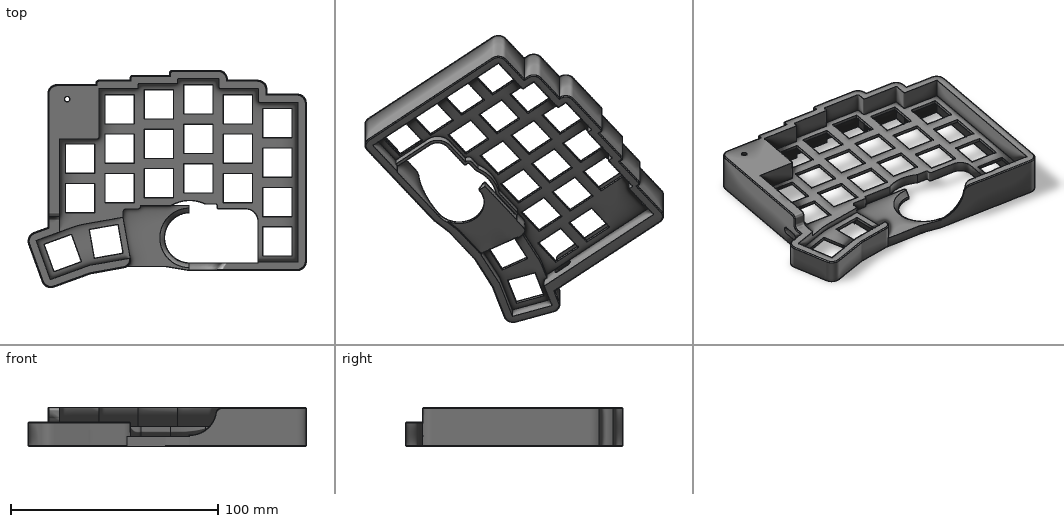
import cadquery as cq
import math


CASE_H = 19.0
THUMB_WALL_H = 12.0
PLATE_TOP = 9.8
THUMB_PLATE_TOP = 7.1
FLOOR_TOP = 4.9
FLOOR_BOTTOM = 1.0
PLATE_T = 1.5
PLATE_BOTTOM = PLATE_TOP - PLATE_T
THUMB_PLATE_BOTTOM = THUMB_PLATE_TOP - PLATE_T
RIM_CHAMFER = 0.5
BELOW = -1.0
ABOVE = CASE_H + 1
FAR = 300.0
TOL = 0.01

PITCH = 19.05
KEY_HOLE = 14.0
KEY_GAP = 0.5
HALF_CELL = PITCH / 2 + KEY_GAP
QUARTER = PITCH / 4
LAST_COLUMN_DROP = 6.7
COLUMNS = [
    (-QUARTER, 2),
    (0.0, 3),
    (PITCH / 8, 3),
    (QUARTER, 3),
    (0.0, 3),
    (-LAST_COLUMN_DROP - PITCH, 4),
]

WALL = 4.0
CORNER_R = 4.5
STEP_CORNER_R = 1.5
INNER_STEP_R = 0.5
LEFT_OUTER_X = -15.6
LEFT_STEP_Y = -13.8
LEFT_STEP_R = 2.0

BLOCK_REAR_Y = 50.0
BLOCK_STEP_X = 7.6
BLOCK_FRONT_Y = COLUMNS[0][0] + 1.5 * PITCH
PIN_HOLE_D = 2.5
PIN_HOLE_XY = (-6.25, 43.0)

SLOT_L = 9.35
SLOT_H = 3.4
SLOT_Y = -10.0
SLOT_Z = 6.55

THUMB_XY = (-8.385, -31.3)
THUMB_ANGLES = (20.0, 10.0)
THUMB_BEND_SHIFT = -1.0
THUMB_END_R = 3.7
THUMB_SKIRT_T = 1.0

BALL_X = 52.9
BALL_Y = -24.0
BALL_Z = 15.7
BALL_R = 18.0
BALL_HOLE_R = 12.1
BAY_FRONT_Y = BALL_Y - BALL_HOLE_R
BAY_LEFT_X = 20.85
BAY_RIGHT_X = 85.9
BAY_REAR_Y = -HALF_CELL
BAY_NOTCH_LEFT_X = 29.3
BAY_NOTCH_LEFT_Y = -8.55
BAY_NOTCH_RIGHT_X = 66.15
BAY_NOTCH_RIGHT_Y = -7.7
BAY_LEFT_R = 1.5
BAY_RIGHT_R = 6.0
NOTCH_LEFT_R = 1.4
NOTCH_RIGHT_R = 0.7

FLOOR_REAR_Y = -8.3
FLOOR_START_INSET = 0.9
FLOOR_BEND_X = 41.3
FRONT_WALL_X = 52.6
SCOOP_R = 20.2
SCOOP_Z = 18.5
SCOOP_BLEND_R = 2.5


def column_left(index):
    return index * PITCH - HALF_CELL


def column_right(index):
    return index * PITCH + HALF_CELL


def column_rear(index):
    lowest, count = COLUMNS[index]
    return lowest + (count - 1) * PITCH + HALF_CELL


def turned_point(center, angle, along, across):
    """Point at (along, across) in a frame turned by `angle` degrees about `center`."""
    a = math.radians(angle)
    x = center[0] + along * math.cos(a) - across * math.sin(a)
    y = center[1] + along * math.sin(a) + across * math.cos(a)
    return (x, y)


SHARED_CORNER = turned_point(THUMB_XY, THUMB_ANGLES[0], HALF_CELL, -HALF_CELL)
THUMB_CENTERS = (THUMB_XY, turned_point(SHARED_CORNER, THUMB_ANGLES[1], HALF_CELL, HALF_CELL))


def thumb_point(key, along, across):
    return turned_point(THUMB_CENTERS[key], THUMB_ANGLES[key], along, across)


INNER_LEFT_X = column_left(0)
INNER_FRONT_Y = COLUMNS[5][0] - HALF_CELL
OUTER_FRONT_Y = INNER_FRONT_Y - WALL
FLOOR_FRONT_Y = thumb_point(1, HALF_CELL - FLOOR_START_INSET, -HALF_CELL - WALL)[1]


def thumb_outline(grow=0.0, end=0.0, bend=0.0):
    """Outline of the thumb pair grown by `grow`; `end` and `bend` shift its right end and front bend."""
    reach = HALF_CELL + grow
    return [
        thumb_point(0, -reach, reach),
        thumb_point(0, -reach, -reach),
        thumb_point(0, HALF_CELL + bend, -reach),
        thumb_point(1, HALF_CELL + end, -reach),
        thumb_point(1, HALF_CELL + end, reach),
        thumb_point(1, -HALF_CELL, reach),
        thumb_point(0, HALF_CELL, reach),
    ]


def rear_steps(grow=0.0):
    """Corners of the stepped rear line from column 1 to the rear right corner, grown outward."""
    points = []
    for i in (1, 2):
        x = column_left(i + 1) - grow
        points += [(x, column_rear(i) + grow), (x, column_rear(i + 1) + grow)]
    for i in (3, 4):
        x = column_right(i) + grow
        points += [(x, column_rear(i) + grow), (x, column_rear(i + 1) + grow)]
    points.append((column_right(5) + grow, column_rear(5) + grow))
    return points


def inner_front_outline():
    """Front part of the inner outline, from the front right corner to the left wall."""
    return [
        (column_right(5), INNER_FRONT_Y),
        (BALL_X, INNER_FRONT_Y),
        (FLOOR_BEND_X, FLOOR_FRONT_Y + WALL),
        thumb_point(1, HALF_CELL, -HALF_CELL),
        (INNER_LEFT_X, THUMB_CENTERS[1][1]),
    ]


def prism(points, bottom, top):
    return cq.Workplane("XY").workplane(offset=bottom).polyline(points).close().extrude(top - bottom)


def cylinder(center, radius, bottom, top):
    return cq.Workplane("XY", origin=(*center, bottom)).circle(radius).extrude(top - bottom)


def ball_at(height, radius):
    return cq.Workplane("XY", origin=(BALL_X, BALL_Y, height)).sphere(radius)


def box(x_range, y_range, z_range):
    ranges = (x_range, y_range, z_range)
    sizes = [high - low for low, high in ranges]
    corner = tuple(low for low, high in ranges)
    return cq.Workplane("XY", origin=corner).box(*sizes, centered=False)


def round_vertical(body, radius, points, bottom=BELOW):
    """Fillet the vertical edges at the given XY points whose middle is above `bottom`."""
    reach = 10 * TOL
    for x, y in points:
        near = cq.selectors.BoxSelector((x - reach, y - reach, bottom), (x + reach, y + reach, ABOVE))
        body = body.edges("|Z").edges(near).fillet(radius)
    return body


def outer_body():
    steps = rear_steps(WALL)
    rear_left = (LEFT_OUTER_X, BLOCK_REAR_Y)
    block_step = (BLOCK_STEP_X, column_rear(1) + WALL)
    front_right = (column_right(5) + WALL, OUTER_FRONT_Y)
    middle_y = THUMB_CENTERS[1][1]
    main_outline = [
        rear_left,
        (BLOCK_STEP_X, BLOCK_REAR_Y),
        block_step,
        *steps,
        front_right,
        (FRONT_WALL_X, OUTER_FRONT_Y),
        (FRONT_WALL_X, middle_y),
        (LEFT_OUTER_X, middle_y),
    ]
    main = prism(main_outline, 0, CASE_H)
    main = round_vertical(main, CORNER_R, [rear_left, steps[4], steps[6], steps[8], front_right])
    main = round_vertical(main, STEP_CORNER_R, [block_step, steps[1], steps[3]])

    thumb_wall = thumb_outline(WALL, bend=THUMB_BEND_SHIFT)
    thumb = round_vertical(prism(thumb_wall, 0, CASE_H), CORNER_R, thumb_wall[:2])

    floor_outline = [
        (FRONT_WALL_X, OUTER_FRONT_Y),
        (FLOOR_BEND_X, FLOOR_FRONT_Y),
        (THUMB_CENTERS[1][0], FLOOR_FRONT_Y),
        THUMB_CENTERS[1],
        (FRONT_WALL_X, middle_y),
    ]
    return main.union(thumb).union(prism(floor_outline, 0, FLOOR_TOP))


def left_step_cutter():
    """Everything above the thumb wall, in front of the rounded step of the left wall."""
    r = LEFT_STEP_R
    start_x = -FAR / 2
    end_x = BAY_LEFT_X + 2 * WALL
    return (
        cq.Workplane("YZ", origin=(start_x, 0, 0))
        .moveTo(-FAR, THUMB_WALL_H)
        .lineTo(LEFT_STEP_Y - r, THUMB_WALL_H)
        .radiusArc((LEFT_STEP_Y, THUMB_WALL_H + r), -r)
        .lineTo(LEFT_STEP_Y, CASE_H - r)
        .radiusArc((LEFT_STEP_Y + r, CASE_H), r)
        .lineTo(-FAR, CASE_H)
        .close()
        .extrude(end_x - start_x)
    )


def add_front_scoop(body):
    """Dip the left end of the front wall along a ball, blended into the wall top."""
    rear_y = BAY_FRONT_Y + 1
    scoop = ball_at(SCOOP_Z, SCOOP_R).union(cylinder((BALL_X, BALL_Y), SCOOP_R, SCOOP_Z, ABOVE))
    body = body.cut(scoop.intersect(box((FRONT_WALL_X, FAR), (-FAR, rear_y), (0, ABOVE))))
    wall_top = cq.selectors.BoxSelector(
        (BALL_X, OUTER_FRONT_Y, CASE_H - TOL), (BALL_X + SCOOP_R, rear_y, CASE_H + TOL)
    )
    return body.edges(wall_top).edges("%CIRCLE").fillet(SCOOP_BLEND_R)


def chamfer_rims(body, outline):
    """Chamfer the top and bottom edges that lie on the outer outline, except along the low floor."""

    def is_rim(edge):
        start, middle, end = (edge.positionAt(t) for t in (0.0, 0.5, 1.0))
        if math.hypot(end.x - start.x, end.y - start.y) < TOL:
            return False
        if TOL < middle.z < FLOOR_TOP + TOL:
            return False
        feet = [cq.Vertex.makeVertex(p.x, p.y, 0) for p in (start, middle, end)]
        return all(outline.distance(foot) < TOL for foot in feet)

    rims = [edge for edge in body.edges().vals() if is_rim(edge)]
    return body.newObject(rims).chamfer(RIM_CHAMFER)


def bay_prism(grow, bottom, top):
    """Trackball bay, open to the front beside the thumb keys, grown outward by `grow`."""
    rear_left = (BAY_LEFT_X, BAY_REAR_Y)
    left_notch = (BAY_NOTCH_LEFT_X, BAY_REAR_Y)
    right_notch = (BAY_NOTCH_RIGHT_X, BAY_NOTCH_RIGHT_Y)
    right_notch_foot = (BAY_NOTCH_RIGHT_X, BAY_REAR_Y)
    rear_right = (BAY_RIGHT_X, BAY_REAR_Y)
    outline = [
        thumb_point(1, HALF_CELL, -FAR / 4),
        thumb_point(1, HALF_CELL, HALF_CELL),
        rear_left,
        left_notch,
        (BAY_NOTCH_LEFT_X, BAY_NOTCH_LEFT_Y),
        (BALL_X, BAY_NOTCH_LEFT_Y),
        (BALL_X, BAY_NOTCH_RIGHT_Y),
        right_notch,
        right_notch_foot,
        rear_right,
        (BAY_RIGHT_X, BAY_FRONT_Y),
        (FRONT_WALL_X, BAY_FRONT_Y),
        (FRONT_WALL_X, -FAR / 4),
    ]
    bay = prism(outline, bottom, top)
    bay = round_vertical(bay, BAY_LEFT_R, [rear_left], bottom)
    bay = round_vertical(bay, NOTCH_LEFT_R, [left_notch], bottom)
    bay = round_vertical(bay, NOTCH_RIGHT_R, [right_notch, right_notch_foot], bottom)
    bay = round_vertical(bay, BAY_RIGHT_R, [rear_right], bottom)
    ball_round = cylinder((BALL_X, BALL_Y), BALL_R, bottom, top)
    rear_half = box((BAY_LEFT_X, BAY_RIGHT_X), (BALL_Y, FAR), (bottom, top))
    bay = bay.union(ball_round.intersect(rear_half))
    if grow > 0:
        bay = bay.faces("<Z").wires().toPending().offset2D(grow).extrude(top - bottom)
    return bay


def floor_opening():
    """Ball seat and hole in the floor, with the bay open right of the floor and behind it."""
    heights = (BELOW, FLOOR_TOP)
    hole = cylinder((BALL_X, BALL_Y), BALL_HOLE_R, *heights)
    seat = ball_at(BALL_Z, BALL_R).intersect(box((BAY_LEFT_X, FRONT_WALL_X), (-FAR, FAR), heights))
    bay = bay_prism(0, *heights)
    right = bay.intersect(box((FRONT_WALL_X, FAR), (BAY_FRONT_Y, FAR), heights))
    rear = bay.intersect(box((0, FAR), (FLOOR_REAR_Y, FAR), heights))
    return hole.union(seat).union(right).union(rear)


def upper_pocket():
    """Space above the main plate, inside the tall wall and beside the solid block."""
    steps = rear_steps()
    block_corner = (column_left(1), BLOCK_FRONT_Y)
    outline = [
        (INNER_LEFT_X, BLOCK_FRONT_Y),
        block_corner,
        (column_left(1), column_rear(1)),
        *steps,
        *inner_front_outline(),
    ]
    pocket = prism(outline, PLATE_TOP, ABOVE)
    return round_vertical(pocket, INNER_STEP_R, [block_corner, *steps[:-1]])


def lower_cavity():
    """Space below the plates, the floor and the solid block, open at the underside."""
    outline = [
        (INNER_LEFT_X, BLOCK_REAR_Y - WALL),
        (column_left(1), BLOCK_REAR_Y - WALL),
        (column_left(1), column_rear(1)),
        *rear_steps(),
        *inner_front_outline(),
    ]
    cavity = prism(outline, BELOW, PLATE_BOTTOM)
    cavity = cavity.cut(prism(thumb_outline(PLATE_T), THUMB_PLATE_BOTTOM, CASE_H))
    cavity = cavity.cut(bay_prism(PLATE_T, FLOOR_TOP, CASE_H))
    floor_box = box((-FAR, FRONT_WALL_X), (-FAR, FLOOR_REAR_Y), (FLOOR_BOTTOM, FLOOR_TOP))
    cavity = cavity.cut(bay_prism(PLATE_T, FLOOR_BOTTOM, FLOOR_TOP).intersect(floor_box))
    return cavity.union(prism(thumb_outline(end=-THUMB_SKIRT_T), BELOW, THUMB_PLATE_BOTTOM))


def key_holes():
    half = KEY_HOLE / 2
    centers = [
        (index * PITCH, lowest + row * PITCH)
        for index, (lowest, count) in enumerate(COLUMNS)
        for row in range(count)
    ]
    holes = (
        cq.Workplane("XY", origin=(0, 0, BELOW))
        .pushPoints(centers)
        .rect(KEY_HOLE, KEY_HOLE)
        .extrude(CASE_H)
    )
    for key in range(len(THUMB_CENTERS)):
        signs = ((-1, -1), (1, -1), (1, 1), (-1, 1))
        corners = [thumb_point(key, i * half, j * half) for i, j in signs]
        holes = holes.union(prism(corners, BELOW, CASE_H))
    return holes


def cable_slot():
    start_x = LEFT_OUTER_X - 1
    depth = INNER_LEFT_X + 1 - start_x
    return cq.Workplane("YZ", origin=(start_x, SLOT_Y, SLOT_Z)).slot2D(SLOT_L, SLOT_H).extrude(depth)


body = outer_body()
outer_outline = body.faces("<Z").wires().val()
body = body.cut(left_step_cutter())
body = body.cut(bay_prism(0, FLOOR_TOP, ABOVE))
body = round_vertical(body, THUMB_END_R, [thumb_point(1, HALF_CELL, -HALF_CELL - WALL)], FLOOR_TOP)
body = body.cut(prism(thumb_outline(end=TOL), THUMB_PLATE_TOP, ABOVE))
body = add_front_scoop(body)
body = chamfer_rims(body, outer_outline)
body = body.cut(upper_pocket())
body = body.cut(floor_opening())
body = body.cut(lower_cavity())
body = body.cut(key_holes())
body = body.cut(cylinder(PIN_HOLE_XY, PIN_HOLE_D / 2, BELOW, ABOVE))
result = body.cut(cable_slot())